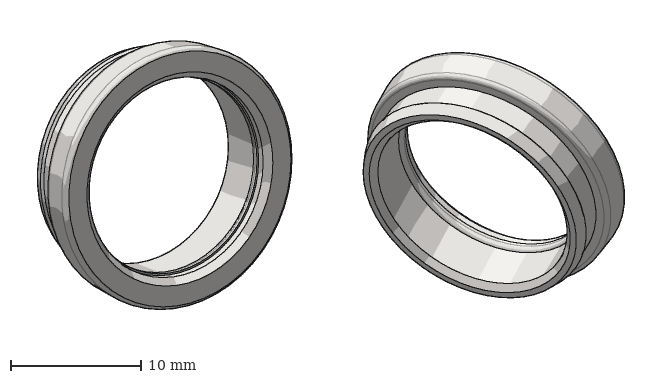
import cadquery as cq
import math

total_length = 6.2
barb_tip_x = 1.02
barb_back_x = 1.2
ring_face_x = 3.2
sleeve_end_x = 5.01

outer_radius = 10.4
ring_front_radius = 10.28
barb_tip_radius = 9.38
barb_end_radius = 9.03
tube_radius = 9.2

bore_radius = 8.0
lip_radius = 7.75
mouth_radius = 7.9

entry_chamfer = 0.5
ring_front_fillet = 0.4
ring_back_round = 0.55
ring_back_drop = 0.31
mouth_chamfer = 0.55
lip_round_length = 0.48
lip_land_length = 0.27


def revolve_about_x(profile):
    """Turn a closed (axial, radial) profile into a ring around the X axis."""
    return profile.close().revolve(360, (0, 0, 0), (1, 0, 0))


def make_sleeve():
    """Barbed tube with a chamfered entry and a rounded internal lip at its far end."""
    lip_land_x = sleeve_end_x - lip_land_length
    lip_start_x = lip_land_x - lip_round_length
    lip_height = bore_radius - lip_radius
    diagonal = math.sqrt(0.5)
    lip_round_middle = (
        lip_land_x - lip_round_length * diagonal,
        bore_radius - lip_height * diagonal,
    )
    profile = (
        cq.Workplane("XY")
        .moveTo(0, bore_radius + entry_chamfer)
        .lineTo(0, barb_end_radius)
        .lineTo(barb_tip_x, barb_tip_radius)
        .lineTo(barb_back_x, tube_radius)
        .lineTo(sleeve_end_x, tube_radius)
        .lineTo(sleeve_end_x, lip_radius)
        .lineTo(lip_land_x, lip_radius)
        .threePointArc(lip_round_middle, (lip_start_x, bore_radius))
        .lineTo(entry_chamfer, bore_radius)
    )
    return revolve_about_x(profile)


def make_ring():
    """Tapered cap ring around the sleeve, with an end wall behind the sleeve."""
    front_round_x = ring_face_x + ring_front_fillet
    back_round_x = total_length - ring_back_round
    profile = (
        cq.Workplane("XY")
        .moveTo(ring_face_x, tube_radius)
        .lineTo(ring_face_x, ring_front_radius - ring_front_fillet)
        .radiusArc((front_round_x, ring_front_radius), ring_front_fillet)
        .lineTo(back_round_x, outer_radius)
        .radiusArc((total_length, outer_radius - ring_back_drop), ring_back_round)
        .lineTo(total_length, mouth_radius + mouth_chamfer)
        .lineTo(total_length - mouth_chamfer, mouth_radius)
        .lineTo(sleeve_end_x, mouth_radius)
        .lineTo(sleeve_end_x, tube_radius)
    )
    return revolve_about_x(profile)


sleeve = make_sleeve()
ring = make_ring()

result = cq.Compound.makeCompound([sleeve.val(), ring.val()])